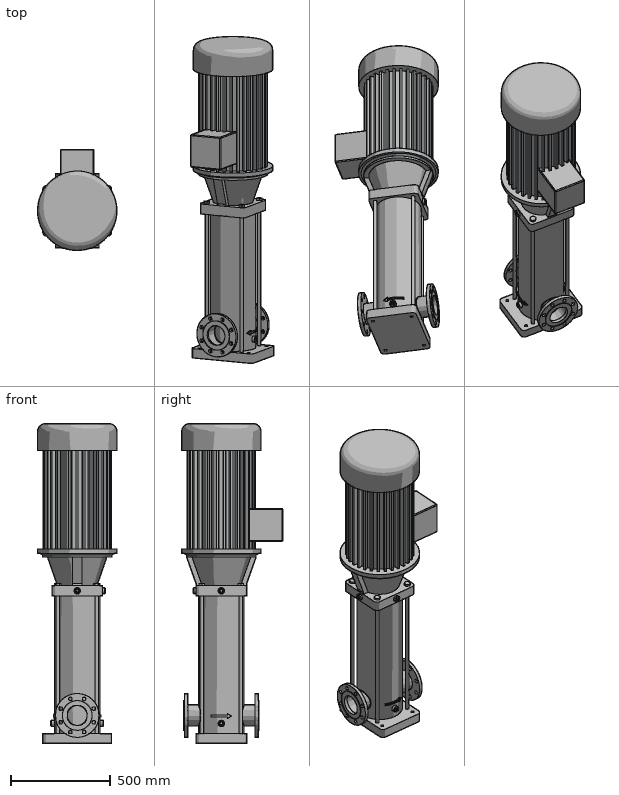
import cadquery as cq

base_height = 48.0
head_bottom = 741.0
head_top = 792.0
lantern_top = 935.0
lantern_rim_top = 947.0
motor_flange_bottom = 955.0
motor_flange_top = 977.0
cover_bottom = 1470.0
total_height = 1607.0

plate_width = 255.0
plate_corner_radius = 21.0
base_length = 347.0
foot_hole_diameter = 14.0
foot_hole_x = 138.0
foot_hole_y = 100.0
rod_diameter = 18.0
rod_offset = 98.0
nut_diameter = 32.0
nut_height = 10.0

casing_diameter = 230.0
port_height = 140.0
port_face = 190.0
pipe_diameter = 108.0
bore_diameter = 100.0
port_flange_diameter = 220.0
port_flange_thickness = 18.0
raised_face_diameter = 150.0
raised_face_height = 3.0
bolt_count = 8
bolt_circle_diameter = 180.0
bolt_hole_diameter = 18.0

plug_diameter = 32.0
plug_projection = 15.0
plug_chamfer = 5.0
plug_socket_diameter = 15.0
plug_socket_depth = 8.0
drain_reach = 133.0
drain_height = 100.0

arrow_height = 137.0
arrow_length = 103.0
arrow_head_length = 21.0
arrow_head_width = 24.0
arrow_shaft_width = 10.0
arrow_relief = 5.0

lantern_bottom_diameter = 200.0
lantern_top_diameter = 299.0
lantern_rim_diameter = 350.0
collar_top_diameter = 376.0
rib_width = 48.0
rib_foot_height = 10.0

motor_diameter = 345.0
cover_diameter = 400.0
cover_round = 40.0
core_diameter = 299.0
fin_count = 30
fin_width = 11.0
fin_start_angle = 5.5

box_width = 170.0
box_projection = 110.0
box_back = cover_diameter / 2 + box_projection
box_bottom = 1014.0
box_top = 1181.0
box_edge = 5.0


def disc(diameter, bottom, top):
    return cq.Workplane("XY", origin=(0, 0, bottom)).circle(diameter / 2).extrude(top - bottom)


def cone(bottom_diameter, top_diameter, bottom, top):
    return (
        cq.Workplane("XY", origin=(0, 0, bottom))
        .circle(bottom_diameter / 2)
        .workplane(offset=top - bottom)
        .circle(top_diameter / 2)
        .loft()
    )


def rounded_plate(length, bottom, top):
    plate = cq.Workplane("XY", origin=(0, 0, bottom)).rect(length, plate_width).extrude(top - bottom)
    return plate.edges("|Z").fillet(plate_corner_radius)


def at_rods(height):
    """The four tie rod axes as points in a horizontal plane."""
    spacing = 2 * rod_offset
    plane = cq.Workplane("XY", origin=(0, 0, height))
    return plane.rect(spacing, spacing, forConstruction=True).vertices()


def tie_rods():
    return at_rods(base_height).circle(rod_diameter / 2).extrude(head_bottom - base_height)


def nuts():
    return at_rods(head_top).polygon(6, nut_diameter).extrude(nut_height)


def foot_plate():
    return (
        rounded_plate(base_length, 0, base_height)
        .faces(">Z")
        .workplane(origin=(0, 0, base_height))
        .rect(2 * foot_hole_x, 2 * foot_hole_y, forConstruction=True)
        .vertices()
        .hole(foot_hole_diameter)
    )


def port():
    """Pipe connection on the -Y side with a raised face and a bolt circle."""
    flange_front = port_face - raised_face_height
    axis = cq.Workplane("XZ", origin=(0, 0, port_height))
    pipe = axis.circle(pipe_diameter / 2).extrude(flange_front)
    flange = (
        axis.workplane(offset=flange_front - port_flange_thickness)
        .circle(port_flange_diameter / 2)
        .extrude(port_flange_thickness)
    )
    raised_face = (
        axis.workplane(offset=flange_front).circle(raised_face_diameter / 2).extrude(raised_face_height)
    )
    bore = axis.circle(bore_diameter / 2).extrude(port_face)
    bolt_holes = (
        axis.workplane(offset=flange_front - port_flange_thickness)
        .polarArray(bolt_circle_diameter / 2, 180 / bolt_count, 360, bolt_count)
        .circle(bolt_hole_diameter / 2)
        .extrude(port_flange_thickness)
    )
    return pipe.union(flange).union(raised_face).cut(bore).cut(bolt_holes)


def lantern():
    """Cone with a rib on each Y side, under a rim and a flared collar."""
    foot_top = head_top + rib_foot_height
    foot = disc(plate_width, head_top, foot_top)
    rib_envelope = foot.union(cone(plate_width, lantern_rim_diameter, foot_top, lantern_top))
    rib_section = cq.Workplane("XY", origin=(0, 0, head_top)).rect(rib_width, lantern_rim_diameter)
    ribs = rib_envelope.intersect(rib_section.extrude(lantern_top - head_top))
    body = cone(lantern_bottom_diameter, lantern_top_diameter, head_top, lantern_top)
    rim = disc(lantern_rim_diameter, lantern_top, lantern_rim_top)
    collar = cone(lantern_rim_diameter, collar_top_diameter, lantern_rim_top, motor_flange_bottom)
    return body.union(ribs).union(rim).union(collar)


def motor():
    """Finned motor housing between its mounting flange and the rounded fan cover."""
    flange = disc(cover_diameter, motor_flange_bottom, motor_flange_top)
    core = disc(core_diameter, motor_flange_top, cover_bottom)
    cover = disc(cover_diameter, cover_bottom, total_height).faces(">Z").edges().fillet(cover_round)
    fin_reach = motor_diameter / 2
    fins = (
        cq.Workplane("XY", origin=(0, 0, motor_flange_top))
        .polarArray(fin_reach / 2, fin_start_angle, 360, fin_count)
        .rect(fin_reach, fin_width)
        .extrude(cover_bottom - motor_flange_top)
    )
    return flange.union(core).union(fins).union(cover)


def terminal_box():
    return (
        cq.Workplane("XY", origin=(0, box_back / 2, box_bottom))
        .rect(box_width, box_back)
        .extrude(box_top - box_bottom)
        .edges("not <Y")
        .chamfer(box_edge)
    )


def plug(height, reach):
    """Screw plug pointing to +X with a chamfered end and a hexagon socket."""
    axis = cq.Workplane("YZ", origin=(0, 0, height))
    body = axis.circle(plug_diameter / 2).extrude(reach).faces(">X").chamfer(plug_chamfer)
    socket = (
        axis.workplane(offset=reach - plug_socket_depth)
        .polygon(6, plug_socket_diameter)
        .extrude(plug_socket_depth)
    )
    return body.cut(socket)


def turned(part, angle):
    return part.rotate((0, 0, 0), (0, 0, 1), angle)


def flow_arrows():
    tip = arrow_length / 2
    head_start = tip - arrow_head_length
    half_shaft = arrow_shaft_width / 2
    half_head = arrow_head_width / 2
    outline = [
        (-tip, -half_shaft),
        (head_start, -half_shaft),
        (head_start, -half_head),
        (tip, 0),
        (head_start, half_head),
        (head_start, half_shaft),
        (-tip, half_shaft),
    ]
    arrows = (
        cq.Workplane("YZ", origin=(0, 0, arrow_height))
        .polyline(outline)
        .close()
        .extrude(casing_diameter, both=True)
    )
    return arrows.intersect(disc(casing_diameter + 2 * arrow_relief, base_height, head_bottom))


front_port = port()
back_port = turned(front_port, 180)
casing = disc(casing_diameter, base_height, head_bottom)
head_plug_height = (head_bottom + head_top) / 2
head_plug = plug(head_plug_height, plate_width / 2 + plug_projection)
drain_plug = plug(drain_height, drain_reach)

result = (
    foot_plate()
    .union(front_port)
    .union(back_port)
    .union(casing)
    .union(tie_rods())
    .union(rounded_plate(plate_width, head_bottom, head_top))
    .union(nuts())
    .union(lantern())
    .union(motor())
    .union(terminal_box())
    .union(head_plug)
    .union(turned(head_plug, -90))
    .union(drain_plug)
    .union(turned(drain_plug, 180))
    .union(flow_arrows())
)